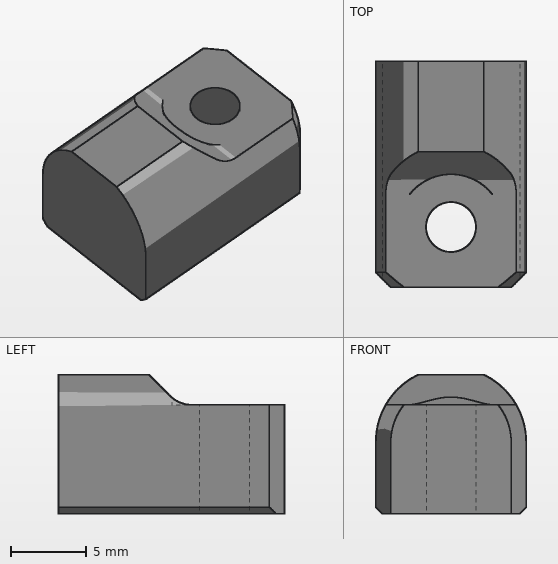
import cadquery as cq
import math

width = 10.0
length = 15.0
height = 9.25
crown_radius = width / 2
crown_axis_z = 4.75
bottom_chamfer = 0.45

back_y = length / 2
front_y = -length / 2
seat_depth = 2.0
seat_z = height - seat_depth
full_height_length = 6.0
ramp_angle = 45.0
ramp_fillet = 2.0

hole_diameter = 3.3
head_clearance_diameter = 7.0
hole_from_front = 4.0
hole_y = front_y + hole_from_front

front_chamfer = 1.0


def round_top_outline(y, radius):
    """Straight sides closed by a half circle, in the plane at the given Y."""
    return (
        cq.Workplane("XZ", origin=(0, y, 0))
        .moveTo(-radius, 0)
        .lineTo(radius, 0)
        .lineTo(radius, crown_axis_z)
        .threePointArc((0, crown_axis_z + radius), (-radius, crown_axis_z))
        .close()
    )


def make_body():
    """Domed bar along Y with its two long bottom edges chamfered."""
    bar = round_top_outline(back_y, crown_radius).extrude(length)
    flat_top = cq.Workplane("XY").box(width, length, height, centered=(True, True, False))
    return bar.intersect(flat_top).faces("<Z").edges("|Y").chamfer(bottom_chamfer)


def make_seat_cut():
    """Volume above the seat, bounded by the ramp and the fillet at its foot."""
    ramp = math.radians(ramp_angle)
    ramp_top_y = back_y - full_height_length
    ramp_foot_y = ramp_top_y - seat_depth / math.tan(ramp)
    fillet_end_y = ramp_foot_y - ramp_fillet * math.tan(ramp / 2)
    fillet_center_z = seat_z + ramp_fillet

    def fillet_point(angle):
        y = fillet_end_y + ramp_fillet * math.sin(angle)
        z = fillet_center_z - ramp_fillet * math.cos(angle)
        return (y, z)

    return (
        cq.Workplane("YZ")
        .moveTo(front_y, height)
        .lineTo(front_y, seat_z)
        .lineTo(fillet_end_y, seat_z)
        .threePointArc(fillet_point(ramp / 2), fillet_point(ramp))
        .lineTo(ramp_top_y, height)
        .close()
        .extrude(width / 2, both=True)
    )


def make_vertical_cylinder(diameter, bottom_z):
    """Cylinder on the screw axis from the given level to the top of the part."""
    base = cq.Workplane("XY", origin=(0, hole_y, bottom_z))
    return base.circle(diameter / 2).extrude(height - bottom_z)


def make_front_envelope():
    """Full section that tapers to the front face over the chamfer length."""
    taper_start_y = front_y + front_chamfer
    straight = round_top_outline(back_y, crown_radius).extrude(length - front_chamfer)
    tapered_walls = (
        cq.Workplane("XY")
        .moveTo(-crown_radius, taper_start_y)
        .lineTo(crown_radius, taper_start_y)
        .lineTo(crown_radius - front_chamfer, front_y)
        .lineTo(front_chamfer - crown_radius, front_y)
        .close()
        .extrude(crown_axis_z)
    )
    crown_cone = cq.Workplane(
        cq.Solid.makeCone(
            crown_radius,
            crown_radius - front_chamfer,
            front_chamfer,
            pnt=cq.Vector(0, taper_start_y, crown_axis_z),
            dir=cq.Vector(0, -1, 0),
        )
    )
    return straight.union(tapered_walls).union(crown_cone)


result = (
    make_body()
    .cut(make_seat_cut())
    .intersect(make_front_envelope())
    .cut(make_vertical_cylinder(head_clearance_diameter, seat_z))
    .cut(make_vertical_cylinder(hole_diameter, 0))
)